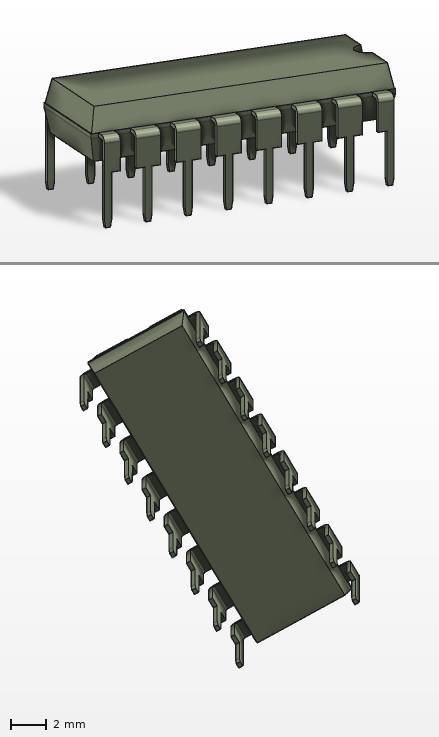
import cadquery as cq

BODY_LENGTH = 19.18
BODY_WIDTH = 6.3
HALF_HEIGHT = 1.513
LEDGE = 0.05
TOP_INSET = 0.35
BOTTOM_INSET = 0.28

NOTCH_RADIUS = 0.74
NOTCH_DEPTH = 0.45

LEADS_PER_SIDE = 8
PITCH = 2.54
LEAD_SPAN = 7.87
LEAD_THICKNESS = 0.254
BEND_RADIUS = 0.4
SHOULDER_WIDTH = 1.54
TAIL_WIDTH = 0.46
TIP_WIDTH = 0.3
TIP_LENGTH = 0.46
TAIL_LENGTH = 3.29
SHOULDER_DROP = 2.177

BAND_TOP = SHOULDER_DROP
BAND_BOTTOM = BAND_TOP - LEAD_THICKNESS
BODY_TOP = BAND_TOP + HALF_HEIGHT
LEAD_OUTER_X = LEAD_SPAN / 2
LEAD_INNER_X = LEAD_OUTER_X - LEAD_THICKNESS
LEAD_ROOT_X = BODY_WIDTH / 2 - LEDGE
FIRST_LEAD_Y = -PITCH * (LEADS_PER_SIDE - 1) / 2


def tapered_half(base_z, base_inset, end_z, end_inset):
    """Loft between two rectangles, each inset from the band outline."""
    return (
        cq.Workplane("XY")
        .workplane(offset=base_z)
        .rect(BODY_WIDTH - 2 * base_inset, BODY_LENGTH - 2 * base_inset)
        .workplane(offset=end_z - base_z)
        .rect(BODY_WIDTH - 2 * end_inset, BODY_LENGTH - 2 * end_inset)
        .loft(ruled=True)
    )


def make_body():
    """Parting band, two tapered halves and the pin 1 notch in the +Y end."""
    band = (
        cq.Workplane("XY")
        .workplane(offset=BAND_BOTTOM)
        .rect(BODY_WIDTH, BODY_LENGTH)
        .extrude(LEAD_THICKNESS)
    )
    upper = tapered_half(BAND_TOP, LEDGE, BODY_TOP, TOP_INSET)
    lower = tapered_half(BAND_BOTTOM, 0, BAND_BOTTOM - HALF_HEIGHT, BOTTOM_INSET)
    notch = (
        cq.Workplane("XY")
        .workplane(offset=BODY_TOP - NOTCH_DEPTH)
        .center(0, BODY_LENGTH / 2 - TOP_INSET)
        .circle(NOTCH_RADIUS)
        .extrude(NOTCH_DEPTH)
    )
    return band.union(upper).union(lower).cut(notch)


def lead_strip():
    """Bent strip on the +X side, spanning the full body length in Y."""
    strip = (
        cq.Workplane("XZ")
        .moveTo(LEAD_ROOT_X, BAND_TOP)
        .lineTo(LEAD_OUTER_X - BEND_RADIUS, BAND_TOP)
        .radiusArc((LEAD_OUTER_X, BAND_TOP - BEND_RADIUS), BEND_RADIUS)
        .lineTo(LEAD_OUTER_X, -TAIL_LENGTH)
        .lineTo(LEAD_INNER_X, -TAIL_LENGTH)
        .lineTo(LEAD_INNER_X, BAND_TOP - BEND_RADIUS)
        .radiusArc((LEAD_OUTER_X - BEND_RADIUS, BAND_BOTTOM), -(BEND_RADIUS - LEAD_THICKNESS))
        .lineTo(LEAD_ROOT_X, BAND_BOTTOM)
        .close()
        .extrude(BODY_LENGTH / 2, both=True)
    )
    return strip


def lead_outline(y, low_side, high_side):
    """Block with the side outline of one lead; shoulder reaches given by side."""
    tail = TAIL_WIDTH / 2
    tip = TIP_WIDTH / 2
    tip_start = TIP_LENGTH - TAIL_LENGTH
    shoulder = (
        cq.Workplane("YZ")
        .moveTo(y - low_side, 0)
        .lineTo(y + high_side, 0)
        .lineTo(y + high_side, BAND_TOP)
        .lineTo(y - low_side, BAND_TOP)
        .close()
        .extrude(LEAD_OUTER_X)
    )
    pin = (
        cq.Workplane("YZ")
        .moveTo(y - tip, -TAIL_LENGTH)
        .lineTo(y + tip, -TAIL_LENGTH)
        .lineTo(y + tail, tip_start)
        .lineTo(y + tail, BAND_TOP)
        .lineTo(y - tail, BAND_TOP)
        .lineTo(y - tail, tip_start)
        .close()
        .extrude(LEAD_OUTER_X)
    )
    return shoulder.union(pin)


def make_lead_row():
    """All leads of the +X side; end leads have only the inner half shoulder."""
    strip = lead_strip()
    row = cq.Workplane("XY")
    for index in range(LEADS_PER_SIDE):
        low_side = SHOULDER_WIDTH / 2
        high_side = SHOULDER_WIDTH / 2
        if index == 0:
            low_side = TAIL_WIDTH / 2
        if index == LEADS_PER_SIDE - 1:
            high_side = TAIL_WIDTH / 2
        outline = lead_outline(FIRST_LEAD_Y + index * PITCH, low_side, high_side)
        row = row.add(strip.intersect(outline))
    return row.combine()


lead_row = make_lead_row()
result = make_body().union(lead_row).union(lead_row.mirror("YZ"))